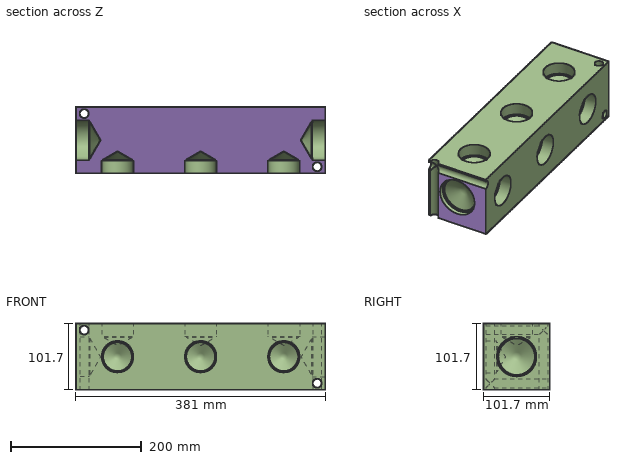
import cadquery as cq
import math

length = 381.0
side = 101.7

tip_angle = 120.0
side_port_bore = 48.5
side_port_drill = 44.0
side_port_bore_depth = 19.5
side_port_depth = 21.0
port_pitch = length / 3
port_positions = [-port_pitch, 0.0, port_pitch]

end_port_bore = 60.5
end_port_drill = 55.5
end_port_bore_depth = 20.0
end_port_depth = 21.5

mount_diameter = 13.5
mount_end_offset = 12.5
mount_edge_offset = 10.3


def port(bore, drill, bore_depth, full_depth):
    """Cutter that opens at the origin and goes down along -Z."""
    tip_depth = full_depth + drill / 2 / math.tan(math.radians(tip_angle / 2))
    profile = [
        (0, 0),
        (bore / 2, 0),
        (bore / 2, -bore_depth),
        (drill / 2, -bore_depth),
        (drill / 2, -full_depth),
        (0, -tip_depth),
    ]
    return cq.Workplane("XZ").polyline(profile).close().revolve(360, (0, 0), (0, 1))


def turned_to_front(cutter):
    """Turn a cutter that enters the top face so that it enters the front face."""
    return cutter.rotate((0, 0, 0), (1, 0, 0), 90)


def turned_to_end(cutter, angle):
    """Turn a cutter that enters the top face so that it enters an end face."""
    return cutter.rotate((0, 0, 0), (0, 1, 0), angle)


block = cq.Workplane("XY").box(length, side, side)

side_port = port(side_port_bore, side_port_drill, side_port_bore_depth, side_port_depth)
for x in port_positions:
    top_port = side_port.translate((x, 0, side / 2))
    block = block.cut(top_port).cut(turned_to_front(top_port))

end_port = port(end_port_bore, end_port_drill, end_port_bore_depth, end_port_depth)
end_port = end_port.translate((0, 0, length / 2))
for angle in (-90, 90):
    block = block.cut(turned_to_end(end_port, angle))

mount_x = length / 2 - mount_end_offset
mount_y = side / 2 - mount_edge_offset
mount_holes = (
    cq.Workplane("XY", origin=(0, 0, -side / 2))
    .pushPoints([(-mount_x, mount_y), (mount_x, -mount_y)])
    .circle(mount_diameter / 2)
    .extrude(side)
)
block = block.cut(mount_holes).cut(turned_to_front(mount_holes))

result = block